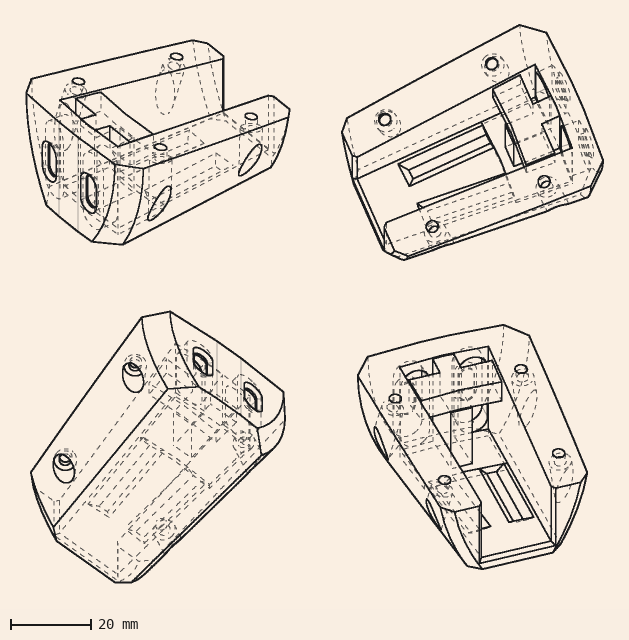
import cadquery as cq
import math

LENGTH = 56.5
HEIGHT = 29.8
TOP_SLOPE = 10.0
SPLAY = 3.0
NOSE_FLAT = 7.75
TOP_HALF_WIDTH = 23.2
BOTTOM_HALF_WIDTH = 15.25
FRONT_CHAMFER = 5.05
REAR_CHAMFER = 2.55

CHANNEL_HALF_WIDTH = 12.2
FRONT_WALL = 6.05
FLOOR = 3.0
EXIT_CHAMFER = 0.95

SLOT_OFFSET = 8.0
SLOT_CENTRE = 14.6
SLOT_WIDTH = 4.0
SLOT_HEIGHT = 9.7
SLOT_CHAMFER = 1.0
SLOT_WEB = 1.5
SLOT_RELIEF = 1.9
GROOVE_WIDTH = 6.5
GROOVE_DEPTH = 2.0
GROOVE_END = 44.35
BEVEL = 45.0

SCREW_OFFSET = 17.65
SCREW_STATIONS = (15.4, 45.0)
SCREW_DIAMETER = 3.0
SCREW_NECK = 3.1
SCREW_LEAN = 10.0
BORE_DIAMETER = 5.6

FOOT_END = 20.95
STEM_HALF_WIDTH = 2.8
STEM_END = 18.35
HEAD_HALF_WIDTH = 11.7
HEAD_START = 10.85
HEAD_END = 18.0
HEAD_UNDERSIDE = 20.35
HEAD_DROP = 0.35

SLOPE_TAN = math.tan(math.radians(TOP_SLOPE))
LEAN_TAN = math.tan(math.radians(SCREW_LEAN))
APEX_Y = -NOSE_FLAT / 2 * math.tan(math.radians(SPLAY))
FOOT_BOTTOM = FLOOR - GROOVE_DEPTH
SIDES = (1, -1)
OVERRUN = 2.8
EDGE_MARGIN = 0.55


def block(x_range, y_range, z_range):
    """Box given by its lower and upper limits along each axis."""
    size = [high - low for low, high in (x_range, y_range, z_range)]
    corner = (x_range[0], y_range[0], z_range[0])
    return cq.Workplane("XY").box(*size, centered=False).translate(corner)


def place_half(shape, side):
    """Turn a shape made along the right half by the splay, then put it on the given side."""
    turned = shape.rotate((0, 0, 0), (0, 0, 1), SPLAY).translate((0, APEX_Y, 0))
    return turned if side > 0 else turned.mirror("YZ")


def splayed_block(half_width, y_range, z_range):
    """Block made of two splayed halves that meet at the centre plane, with V-shaped ends."""
    right_side = block((0, LENGTH), (0, 2 * LENGTH), (0, HEIGHT))
    half = place_half(block((0, half_width), y_range, z_range), 1).intersect(right_side)
    return half.union(half.mirror("YZ"))


def below_top(drop=0.0):
    """Everything under the sloping top plane, with that plane lowered by the drop."""
    front_z = HEIGHT - drop
    return (
        cq.Workplane("YZ")
        .polyline([(0, 0), (LENGTH, 0), (LENGTH, front_z - LENGTH * SLOPE_TAN), (0, front_z)])
        .close()
        .extrude(LENGTH, both=True)
    )



def half_shell():
    """Right half of the outer form, with an arc side that is vertical at the full height."""
    inset = TOP_HALF_WIDTH - BOTTOM_HALF_WIDTH
    radius = (HEIGHT**2 + inset**2) / (2 * inset)
    middle_angle = math.asin(HEIGHT / radius) / 2
    arc_middle = (
        TOP_HALF_WIDTH - radius * (1 - math.cos(middle_angle)),
        HEIGHT - radius * math.sin(middle_angle),
    )
    half = (
        cq.Workplane("XZ")
        .lineTo(BOTTOM_HALF_WIDTH, 0)
        .threePointArc(arc_middle, (TOP_HALF_WIDTH, HEIGHT))
        .lineTo(0, HEIGHT)
        .close()
        .extrude(-LENGTH - OVERRUN)
    )
    front_corner = cq.selectors.BoxSelector(
        (BOTTOM_HALF_WIDTH, -EDGE_MARGIN, EDGE_MARGIN),
        (TOP_HALF_WIDTH, EDGE_MARGIN, HEIGHT - EDGE_MARGIN),
    )
    half = half.edges(front_corner).chamfer(FRONT_CHAMFER)
    half = place_half(half, 1).intersect(block((0, LENGTH), (0, LENGTH), (0, HEIGHT)))
    rear_corner = cq.selectors.BoxSelector(
        (CHANNEL_HALF_WIDTH, LENGTH - EDGE_MARGIN, EDGE_MARGIN),
        (TOP_HALF_WIDTH, LENGTH + EDGE_MARGIN, HEIGHT - EDGE_MARGIN),
    )
    return half.edges(rear_corner).chamfer(REAR_CHAMFER)


def cut_channel(body):
    """Channel open at the top and the rear, with its floor and walls chamfered at the rear."""
    body = body.cut(splayed_block(CHANNEL_HALF_WIDTH, (FRONT_WALL, LENGTH + OVERRUN), (FLOOR, HEIGHT)))
    rear_top = HEIGHT - LENGTH * SLOPE_TAN
    exit_edges = cq.selectors.BoxSelector(
        (-CHANNEL_HALF_WIDTH, LENGTH - EDGE_MARGIN, FLOOR - EDGE_MARGIN),
        (CHANNEL_HALF_WIDTH, LENGTH + EDGE_MARGIN, rear_top - EDGE_MARGIN),
    )
    return body.edges(exit_edges).chamfer(EXIT_CHAMFER)


def foot_recess():
    """Front end of the channel, with a recess in the floor that takes the foot of the post."""
    return splayed_block(CHANNEL_HALF_WIDTH, (FRONT_WALL, FOOT_END), (FOOT_BOTTOM, HEIGHT))


def upright_slot(y, height, width):
    """Sketch of an upright slot facing the front, centred on the strap."""
    return cq.Workplane("XZ", origin=(SLOT_OFFSET, y, SLOT_CENTRE)).slot2D(height, width, 90)


def strap_slot():
    """Slot with a bevelled mouth, a thin web, and a larger slot behind it down to the floor."""
    passage = upright_slot(0, SLOT_HEIGHT, SLOT_WIDTH).extrude(-FRONT_WALL)
    mouth = upright_slot(0, SLOT_HEIGHT + 2 * SLOT_CHAMFER, SLOT_WIDTH + 2 * SLOT_CHAMFER)
    mouth = mouth.extrude(-SLOT_CHAMFER, taper=BEVEL)
    relief = upright_slot(SLOT_WEB, 2 * (SLOT_CENTRE - FLOOR), SLOT_WIDTH + 2 * SLOT_RELIEF)
    relief = relief.extrude(SLOT_WEB - FRONT_WALL - OVERRUN)
    return passage.union(mouth).union(relief)


def strap_groove():
    """Groove in the channel floor with bevelled sides and rear end, open to the recess in front."""
    start = FOOT_END - GROOVE_DEPTH - OVERRUN
    return (
        cq.Workplane("XY", origin=(SLOT_OFFSET, (start + GROOVE_END) / 2, FLOOR))
        .rect(GROOVE_WIDTH, GROOVE_END - start)
        .extrude(-GROOVE_DEPTH, taper=BEVEL)
    )


def screw_hole(station):
    """Leaning screw hole whose wide bore breaks out through the outer side."""
    splay = math.radians(SPLAY)
    distance_back = station * math.cos(splay) + SCREW_OFFSET * math.sin(splay) + APEX_Y
    mouth = cq.Vector(SCREW_OFFSET, station, HEIGHT - distance_back * SLOPE_TAN)
    down = cq.Vector(LEAN_TAN, -SLOPE_TAN, -1).normalized()
    neck = cq.Solid.makeCylinder(SCREW_DIAMETER / 2, 2 * OVERRUN + SCREW_NECK, mouth - down * OVERRUN, down)
    bore = cq.Solid.makeCylinder(BORE_DIAMETER / 2, HEIGHT, mouth + down * SCREW_NECK, down)
    return cq.Workplane(neck).union(cq.Workplane(bore))


def make_housing():
    right_half = half_shell()
    body = right_half.union(right_half.mirror("YZ")).intersect(below_top())
    body = cut_channel(body).cut(foot_recess())
    for side in SIDES:
        body = body.cut(place_half(strap_slot(), side))
        body = body.cut(place_half(strap_groove(), side))
        for station in SCREW_STATIONS:
            body = body.cut(place_half(screw_hole(station), side))
    return body



def make_strap_post():
    """Foot that fills the recess, a stem against the front wall, and a wide head above the slots."""
    stem_width = (-STEM_HALF_WIDTH, STEM_HALF_WIDTH)
    foot = block((-LENGTH, LENGTH), (0, LENGTH), (FOOT_BOTTOM, FLOOR))
    stem = block(stem_width, (0, STEM_END), (FOOT_BOTTOM, HEAD_UNDERSIDE))
    bridge = block(stem_width, (0, HEAD_START), (HEAD_UNDERSIDE, HEIGHT))
    head = splayed_block(HEAD_HALF_WIDTH, (0, HEAD_END), (HEAD_UNDERSIDE, HEIGHT))
    head = head.intersect(block((-LENGTH, LENGTH), (HEAD_START, LENGTH), (0, HEIGHT)))
    post = foot.union(stem).union(bridge).union(head)
    return post.intersect(foot_recess()).intersect(below_top(HEAD_DROP))


housing = make_housing()
strap_post = make_strap_post()
result = cq.Compound.makeCompound([housing.solids().val(), strap_post.solids().val()])